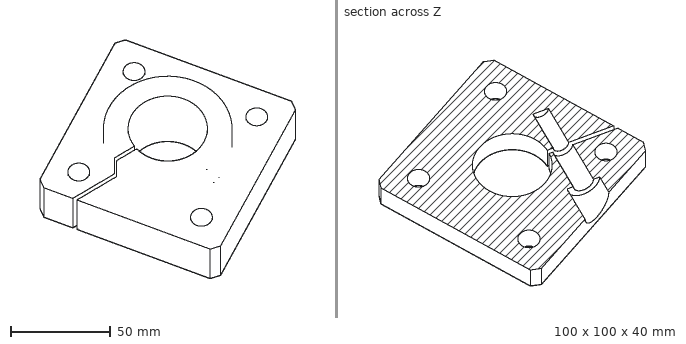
import cadquery as cq
import math

flange_side = 100.0
flange_height = 26.0
corner_chamfer = 4.0

total_height = 40.0
boss_diameter = 65.0
boss_rim_fillet = 0.5
boss_root_fillet = 0.5

bore_diameter = 40.0

mount_hole_diameter = 11.0
bolt_circle_diameter = 96.0
mount_hole_count = 4
first_hole_angle = 45.0

slot_width = 2.0
slot_angle = 240.0
slot_length = flange_side

screw_offset = 27.65
screw_height = flange_height / 2
clearance_diameter = 11.0
thread_core_diameter = 8.38
thread_depth = 25.0
counterbore_diameter = 18.0
counterbore_floor = 25.7
counterbore_length = flange_side / 2

slot_radians = math.radians(slot_angle)
slot_direction = cq.Vector(math.cos(slot_radians), math.sin(slot_radians), 0)
screw_direction = cq.Vector(-math.sin(slot_radians), math.cos(slot_radians), 0)


def make_flange():
    return (
        cq.Workplane("XY")
        .rect(flange_side, flange_side)
        .extrude(flange_height)
        .edges("|Z")
        .chamfer(corner_chamfer)
    )


def add_boss(body):
    """Add the boss with a small fillet at its rim and another at its root."""
    radius = boss_diameter / 2
    half_profile = (
        cq.Workplane("XZ")
        .moveTo(0, flange_height)
        .lineTo(radius + boss_root_fillet, flange_height)
        .radiusArc((radius, flange_height + boss_root_fillet), boss_root_fillet)
        .lineTo(radius, total_height - boss_rim_fillet)
        .radiusArc((radius - boss_rim_fillet, total_height), -boss_rim_fillet)
        .lineTo(0, total_height)
        .close()
    )
    return body.union(half_profile.revolve(360, (0, 0, 0), (0, 1, 0)))


def cut_bore(body):
    return body.cut(cq.Workplane("XY").circle(bore_diameter / 2).extrude(total_height))


def cut_mount_holes(body):
    holes = (
        cq.Workplane("XY")
        .polarArray(bolt_circle_diameter / 2, first_hole_angle, 360, mount_hole_count)
        .circle(mount_hole_diameter / 2)
        .extrude(flange_height)
    )
    return body.cut(holes)


def cut_slot(body):
    slot = (
        cq.Workplane("XY")
        .rect(slot_length, slot_width)
        .extrude(total_height)
        .translate((slot_length / 2, 0, 0))
        .rotate((0, 0, 0), (0, 0, 1), slot_angle)
    )
    return body.cut(slot)


def screw_cylinder(diameter, start, end):
    """Cylinder on the screw axis between two distances from the slot centre plane."""
    axis_point = slot_direction * screw_offset + cq.Vector(0, 0, screw_height)
    base = axis_point + screw_direction * start
    return cq.Workplane(cq.Solid.makeCylinder(diameter / 2, end - start, base, screw_direction))


def cut_clamp_screw(body):
    counterbore_start = -counterbore_floor - counterbore_length
    body = body.cut(screw_cylinder(counterbore_diameter, counterbore_start, -counterbore_floor))
    body = body.cut(screw_cylinder(clearance_diameter, -counterbore_floor, 0))
    return body.cut(screw_cylinder(thread_core_diameter, 0, thread_depth))


result = make_flange()
result = add_boss(result)
result = cut_bore(result)
result = cut_mount_holes(result)
result = cut_slot(result)
result = cut_clamp_screw(result)